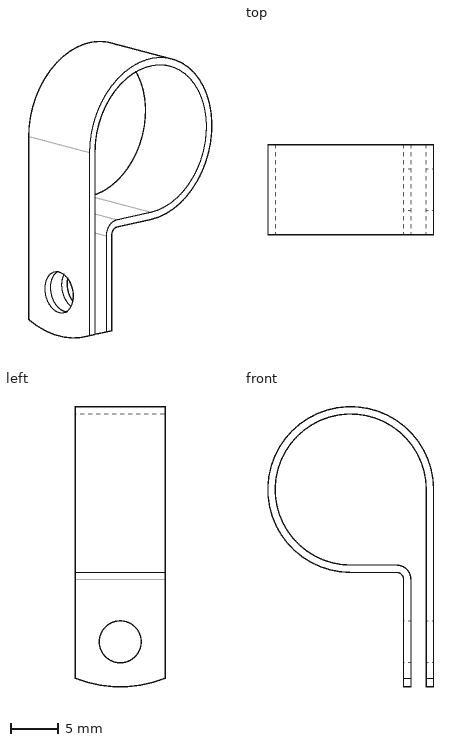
import cadquery as cq
import math

height = 29.57
width = 9.52
thickness = 0.8
loop_radius = 8.75
leg_gap = 1.6
bend_radius = 1.5
hole_diameter = 4.4
hole_height = 4.75
tip_rise = 0.92

inner_radius = loop_radius - thickness
inner_bend_radius = bend_radius - thickness
tip_z = loop_radius - height
short_leg_outer_x = inner_radius - leg_gap
short_leg_inner_x = short_leg_outer_x - thickness
bend_x = short_leg_outer_x - bend_radius
bend_z = -inner_radius - bend_radius
diagonal = math.sqrt(0.5)


def strap_profile():
    """Outline of the bent strap in the XZ plane."""
    return (
        cq.Workplane("XZ")
        .moveTo(loop_radius, tip_z)
        .lineTo(loop_radius, 0)
        .threePointArc((-loop_radius * diagonal, loop_radius * diagonal), (0, -loop_radius))
        .lineTo(bend_x, -loop_radius)
        .threePointArc(
            (bend_x + inner_bend_radius * diagonal, bend_z + inner_bend_radius * diagonal),
            (short_leg_inner_x, bend_z),
        )
        .lineTo(short_leg_inner_x, tip_z)
        .lineTo(short_leg_outer_x, tip_z)
        .lineTo(short_leg_outer_x, bend_z)
        .threePointArc(
            (bend_x + bend_radius * diagonal, bend_z + bend_radius * diagonal),
            (bend_x, -inner_radius),
        )
        .lineTo(0, -inner_radius)
        .threePointArc((-inner_radius * diagonal, inner_radius * diagonal), (inner_radius, 0))
        .lineTo(inner_radius, tip_z)
        .close()
    )


def side_silhouette():
    """Block with a rounded lower edge that shapes both leg tips."""
    return (
        cq.Workplane("YZ")
        .moveTo(-width / 2, loop_radius)
        .lineTo(-width / 2, tip_z + tip_rise)
        .threePointArc((0, tip_z), (width / 2, tip_z + tip_rise))
        .lineTo(width / 2, loop_radius)
        .close()
        .extrude(loop_radius, both=True)
    )


def bolt_hole():
    """Cylinder along X that passes through both legs."""
    return (
        cq.Workplane("YZ")
        .center(0, tip_z + hole_height)
        .circle(hole_diameter / 2)
        .extrude(loop_radius)
    )


strap = strap_profile().extrude(width / 2, both=True)
result = strap.intersect(side_silhouette()).cut(bolt_hole())